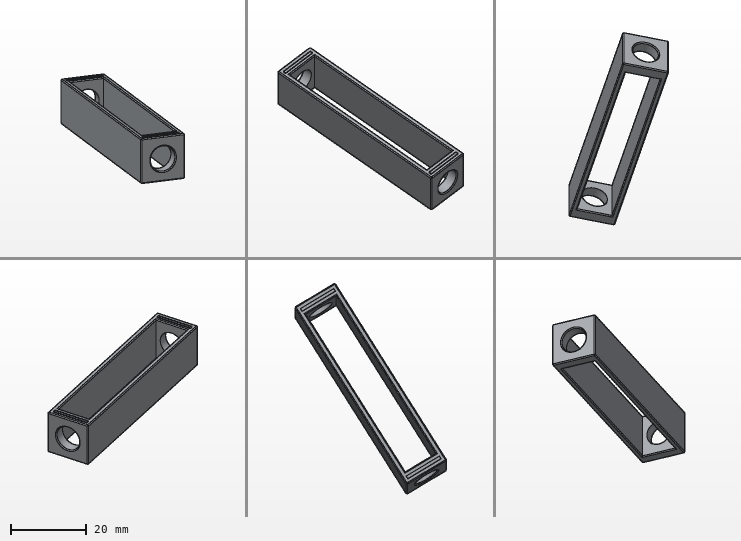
import cadquery as cq

length = 56.25
width = 12.5
height = 12.5

edge_chamfer = 0.3

opening_length = 50.0
opening_width = 9.45

end_hole_diameter = 7.0

recess_length = 10.3
recess_width = 0.85
recess_depth = 0.2
recess_centre_to_end = 1.6
recess_x = length / 2 - recess_centre_to_end


def make_block():
    """Block centred on the origin with every outer edge chamfered."""
    return cq.Workplane("XY").box(length, width, height).edges().chamfer(edge_chamfer)


def draw_opening(workplane, growth=0):
    """Rectangular opening outline, offset outward by growth."""
    return workplane.rect(opening_length + 2 * growth, opening_width + 2 * growth)


def draw_end_hole(workplane, growth=0):
    """Round end hole outline, offset outward by growth."""
    return workplane.circle(end_hole_diameter / 2 + growth)


def make_through_cutter(plane, draw_outline, depth):
    """Straight cutter centred on the origin, flared at both ends to chamfer the rims."""
    cutter = draw_outline(cq.Workplane(plane)).extrude(depth / 2, both=True)
    for side in (-1, 1):
        flare_start = side * (depth / 2 - edge_chamfer)
        narrow_end = draw_outline(cq.Workplane(plane).workplane(offset=flare_start))
        wide_plane = narrow_end.workplane(offset=side * edge_chamfer)
        flare = draw_outline(wide_plane, growth=edge_chamfer).loft()
        cutter = cutter.union(flare)
    return cutter


def make_recesses():
    """One narrow, shallow slot in the top of each end wall."""
    recess_floor = height / 2 - recess_depth
    return (
        cq.Workplane("XY", origin=(0, 0, recess_floor))
        .pushPoints([(-recess_x, 0), (recess_x, 0)])
        .rect(recess_width, recess_length)
        .extrude(recess_depth)
    )


block = make_block()
opening = make_through_cutter("XY", draw_opening, height)
end_holes = make_through_cutter("YZ", draw_end_hole, length)

result = block.cut(opening).cut(end_holes).cut(make_recesses())